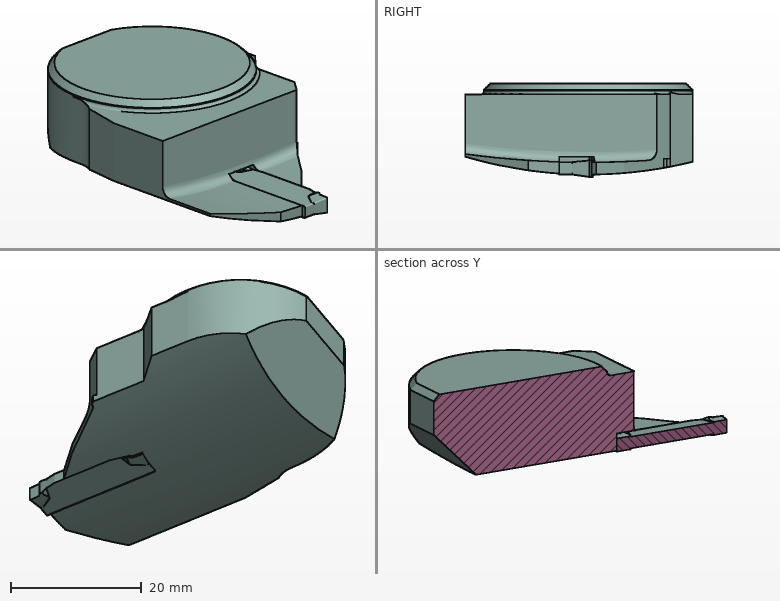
import cadquery as cq
import math


boss_radius = 15.95
boss_top = 14.0
boss_chamfer = 1.0
boss_fillet = 0.5
flat_x = -14.95

wall_radius = 16.0
block_top = 12.3
shoulder_x = 20.7
front_y = -18.85
back_y = 12.55
front_corner_x = 10.25
neck_start_x = 0.15
neck_x = 3.4
neck_y = -17.3
back_corner_x = 6.45
back_bevel = wall_radius - back_y
nose_bevel_start_x = 18.2
nose_bend_x = 26.7
nose_bend_y = 5.45
nose_end_x = 30.7

blade_end_x = 36.45
blade_bevel_x = 30.9
blade_bevel_y = -9.15
blade_outer_radius = 65.95
blade_inner_radius = 139.8
blade_inner_z = 1.9
blade_fillet = 1.55
heel_chamfer_z = 7.6

foot_x = 19.35
foot_bevel = 0.5
foot_top = 2.45

tip_x = 37.4
insert_length = 19.95
insert_mid_x = tip_x - insert_length / 2
insert_bottom_y = -4.45
insert_top_y = 1.2
insert_thickness = 1.95
insert_end_x = 37.05
tip_y = 0.15
tip_overhang = 0.35
tip_thickness = 2.55
pocket_top = 2.8

body_drop_x = 32.35
head_back_x = 34.05
head_back_y = 0.85
head_crest_x = 35.35
head_crest_y = 0.6
chip_groove_x = 35.65
chip_groove_y = 0.25
head_side_x = 34.65
head_side_y = -1.25
head_foot_x = 36.45
head_foot_y = -2.45
head_full_x = 34.85
nose_radius = 0.2

margin = 5.25


def holder_outline():
    """Plan outline of block and blade, drawn on the XY plane."""
    flat_y = math.sqrt(wall_radius**2 - flat_x**2)
    neck_start_y = -math.sqrt(wall_radius**2 - neck_start_x**2)
    quarter = wall_radius * math.sqrt(0.5)
    return (
        cq.Workplane("XY")
        .moveTo(flat_x, flat_y)
        .lineTo(flat_x, -flat_y)
        .threePointArc((-quarter, -quarter), (neck_start_x, neck_start_y))
        .tangentArcPoint((neck_x, neck_y), relative=False)
        .lineTo(front_corner_x, front_y)
        .lineTo(blade_bevel_x, front_y)
        .lineTo(blade_end_x, blade_bevel_y)
        .lineTo(blade_end_x, insert_bottom_y)
        .lineTo(nose_end_x, insert_bottom_y)
        .lineTo(nose_end_x, insert_top_y)
        .lineTo(nose_bend_x, nose_bend_y)
        .lineTo(nose_bevel_start_x, back_y)
        .lineTo(back_corner_x + back_bevel, back_y)
        .lineTo(back_corner_x, wall_radius)
        .lineTo(0, wall_radius)
        .threePointArc((-quarter, quarter), (flat_x, flat_y))
        .close()
    )


def cylinder_along_x(radius, bottom_z, start_x, end_x):
    """Cylinder parallel to X whose lowest line lies at Y = 0, Z = bottom_z."""
    return (
        cq.Workplane("YZ", origin=(start_x, 0, 0))
        .center(0, bottom_z + radius)
        .circle(radius)
        .extrude(end_x - start_x)
    )


def foot():
    """Low corner standing out past the slanted back face."""
    return (
        cq.Workplane("XY")
        .moveTo(nose_bevel_start_x, back_y)
        .lineTo(foot_x - foot_bevel, back_y)
        .lineTo(foot_x, back_y - foot_bevel)
        .lineTo(foot_x, 0)
        .lineTo(nose_bevel_start_x, 0)
        .close()
        .extrude(foot_top)
    )


def boss_outline(z):
    """Circle with one flat side, at height z."""
    flat_y = math.sqrt(boss_radius**2 - flat_x**2)
    return (
        cq.Workplane("XY", origin=(0, 0, z))
        .moveTo(flat_x, flat_y)
        .lineTo(flat_x, -flat_y)
        .threePointArc((boss_radius, 0), (flat_x, flat_y))
        .close()
    )


def boss():
    """Round boss with a flat side, a chamfered rim and a fillet at its base."""
    rim_z = boss_top - boss_chamfer
    rim = boss_outline(rim_z).extrude(boss_chamfer, taper=45)
    disc = boss_outline(block_top).extrude(rim_z - block_top).union(rim)
    fillet_outer = boss_radius + boss_fillet
    arc_reach = boss_fillet * (1 - math.sqrt(0.5))
    fillet_ring = (
        cq.Workplane("XZ")
        .moveTo(boss_radius - boss_fillet, block_top)
        .lineTo(fillet_outer, block_top)
        .threePointArc(
            (boss_radius + arc_reach, block_top + arc_reach),
            (boss_radius, block_top + boss_fillet),
        )
        .lineTo(boss_radius - boss_fillet, block_top + boss_fillet)
        .close()
        .revolve(360, (0, 0, 0), (0, 1, 0))
    )
    return disc.union(fillet_ring).intersect(holder_outline().extrude(boss_top))


def blade_clearance():
    """Space above the blade, with the rounded corner at the shoulder."""
    return (
        cylinder_along_x(blade_inner_radius, blade_inner_z, shoulder_x, tip_x + margin)
        .faces("<X")
        .edges()
        .fillet(blade_fillet)
    )


def heel_chamfer():
    """Wedge that takes the 45 degree chamfer off the underside at the flat."""
    return (
        cq.Workplane("XZ")
        .moveTo(flat_x, heel_chamfer_z)
        .lineTo(flat_x + heel_chamfer_z, 0)
        .lineTo(flat_x, 0)
        .close()
        .extrude(2 * wall_radius, both=True)
    )


def insert_profile(cutting_edge_x, z):
    """Side profile of the +X half of the insert, at height z."""
    return (
        cq.Workplane("XY", origin=(0, 0, z))
        .moveTo(insert_mid_x, insert_bottom_y)
        .lineTo(insert_end_x, insert_bottom_y)
        .lineTo(insert_end_x, head_foot_y)
        .lineTo(cutting_edge_x, tip_y)
        .lineTo(chip_groove_x, chip_groove_y)
        .lineTo(head_crest_x, head_crest_y)
        .lineTo(head_back_x, head_back_y)
        .lineTo(body_drop_x, insert_top_y)
        .lineTo(insert_mid_x, insert_top_y)
        .close()
    )


def with_other_end(half):
    """Adds the mirror image of the +X half of the insert or its pocket."""
    return half.union(half.mirror("YZ", (insert_mid_x, 0, 0)))


def insert_pocket():
    """Slot of the insert's side profile, open below, through the blade and into the block."""
    return with_other_end(insert_profile(tip_x, -margin).extrude(margin + pocket_top))


def make_holder():
    """Block, curved blade and boss as one solid, with the pocket for the insert."""
    body = holder_outline().extrude(block_top).union(foot())
    underside = cylinder_along_x(blade_outer_radius, 0, flat_x - margin, tip_x + margin)
    body = body.intersect(underside)
    body = body.cut(blade_clearance())
    body = body.union(boss())
    return body.cut(heel_chamfer()).cut(insert_pocket())


def insert_body():
    """Half of the flat bar between the two heads, rounded along its end."""
    bar = insert_profile(insert_end_x, 0).extrude(insert_thickness)
    return bar.faces(">X").edges("|Y").fillet(nose_radius)


def insert_head():
    """Cutting head, widest at the cutting edge and tapering down and back to the bar."""
    tip_low = -tip_overhang
    tip_high = tip_low + tip_thickness
    side = (
        cq.Workplane("XY", origin=(0, 0, tip_low))
        .moveTo(head_back_x, head_back_y)
        .lineTo(head_side_x, head_side_y)
        .lineTo(head_foot_x, head_foot_y)
        .lineTo(insert_end_x, head_foot_y)
        .lineTo(tip_x, tip_y)
        .lineTo(chip_groove_x, chip_groove_y)
        .lineTo(head_crest_x, head_crest_y)
        .close()
        .extrude(tip_thickness)
    )
    side_relief = (
        cq.Workplane("YZ", origin=(head_back_x, 0, 0))
        .moveTo(head_foot_y, 0)
        .lineTo(tip_y, tip_low)
        .lineTo(head_back_y, tip_low)
        .lineTo(head_back_y, tip_high)
        .lineTo(tip_y, tip_high)
        .lineTo(head_foot_y, insert_thickness)
        .close()
        .extrude(tip_x - head_back_x)
    )
    back_ramp = (
        cq.Workplane("XZ", origin=(0, insert_top_y, 0))
        .moveTo(head_back_x, 0)
        .lineTo(head_full_x, tip_low)
        .lineTo(tip_x, tip_low)
        .lineTo(tip_x, tip_high)
        .lineTo(head_full_x, tip_high)
        .lineTo(head_back_x, insert_thickness)
        .close()
        .extrude(insert_top_y - insert_bottom_y)
    )
    head = side.intersect(side_relief).intersect(back_ramp)
    end_face_middle = (tip_x, (tip_y + head_foot_y) / 2, insert_thickness / 2)
    end_face = head.faces(cq.selectors.NearestToPointSelector(end_face_middle))
    return end_face.edges("not |Z").fillet(nose_radius)


def make_insert():
    """Double-ended insert lying along X."""
    return with_other_end(insert_body().union(insert_head()))


holder = make_holder()
insert = make_insert()
result = cq.Compound.makeCompound([holder.solids().val(), insert.solids().val()])